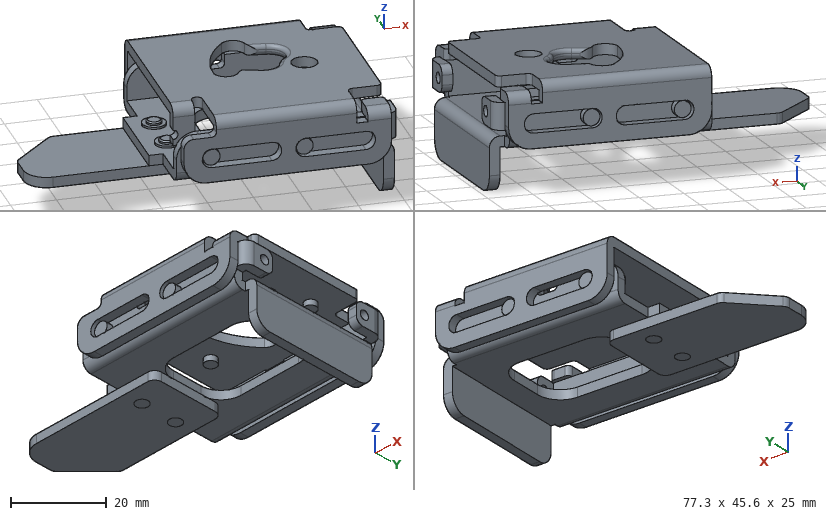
import cadquery as cq
import math


SHEET = 2.4
CORNER_RADIUS = 1.1
END_RADIUS = 5.0

COVER_LENGTH = 45.15
COVER_HALF_WIDTH = 22.8
COVER_TOP = 14.9
COVER_BOTTOM = 0.55
PLATE_BOTTOM = COVER_TOP - SHEET

SIDE_CLEARANCE = 0.15
CARRIAGE_HALF_WIDTH = COVER_HALF_WIDTH - SHEET - SIDE_CLEARANCE
CARRIAGE_LEFT = -0.9
CARRIAGE_RIGHT = 44.0
CARRIAGE_TOP = 10.4
CARRIAGE_END = 47.4

SLOT_LENGTH = 17.2
SLOT_HEIGHT = 4.2
SLOT_PITCH = 20.4
FIRST_SLOT_CENTER = 12.6
SLOT_Z = 6.0
BOSS_DIAMETER = 3.7
BOSS_PITCH = 20.25
FIRST_BOSS_X = 6.2
BOSS_HEIGHT = 1.8

RELIEF_RIGHT = 7.0
RELIEF_FLOOR = 10.9
RELIEF_CORNER_RADIUS = 2.1
HOOK_LENGTH = 4.7
HOOK_INNER_Y = -12.0
HOOK_BOTTOM = 6.0
HOOK_CORNER_RADIUS = 2.3
HOOK_GROOVE_DIAMETER = 2.1
HOOK_GROOVE_Z = 8.5
FINGER_END_Y = -10.8

NOTCH_LEFT = 37.6
NOTCH_INNER_Y = 15.45
NOTCH_FLOOR = 10.3
TAB_LEFT = 40.05
TAB_INNER_Y = 16.8

FIRST_STOP_X = 7.65
STOP_PITCH = 29.5
STOP_Y = 9.05
STOP_DIAMETER = 3.2
STOP_LENGTH = 1.5

PIVOT_X = 32.6
PIVOT_DIAMETER = 5.65
CAM_OUTER_RADIUS = 19.8
LOBE_RADIUS = 2.7
LOWER_LOBE_ANGLE = 180
UPPER_LOBE_ANGLE = 135
NECK_RADIUS = 2.6
POCKET_ORBIT = 9.0
POCKET_RADIUS = 3.7
LOWER_POCKET_ANGLE = 162
UPPER_POCKET_ANGLE = 131
LOWER_WALL_NORMAL = 250
UPPER_WALL_NORMAL = 82
WALL_LENGTH = 5.8
RIM_RADIUS = 0.9

WINDOW_LEFT = 9.75
WINDOW_RIGHT = 38.65
WINDOW_RADIUS = 5.95
DIP_LEFT = 15.1
DIP_LENGTH = 5.25
DIP_FLOOR = 7.4
EAR_INNER_Y = 12.4
EAR_BOTTOM = 4.4
EAR_RADIUS = 1.9
EAR_HOLE_DIAMETER = 2.4
EAR_HOLE_Y = 14.8
TAIL_HALF_WIDTH = 17.1
TAIL_BOTTOM = -10.05
TAIL_RADIUS = 4.0
LIP_LEFT = -4.0

OVERALL_LENGTH = 77.3
TONGUE_LEFT = CARRIAGE_END - OVERALL_LENGTH
TONGUE_RIGHT = 10.05
TONGUE_HALF_WIDTH = 10.0
TONGUE_RADIUS = 2.0
RIVET_X = 1.3
RIVET_Y = 4.95
RIVET_DIAMETER = 3.4
RIVET_COLLAR_DIAMETER = 5.25
RIVET_COLLAR_HEIGHT = 0.5
RIVET_HEAD_HEIGHT = 1.15
RIVET_CHAMFER = 0.3

PIVOT = (PIVOT_X, 0)
SIDES = (-1, 1)


def block(x0, x1, y0, y1, z0, z1):
    """Box between two opposite corners."""
    return cq.Workplane("XY").box(x1 - x0, y1 - y0, z1 - z0, centered=False).translate((x0, y0, z0))


def polar(center, radius, degrees):
    """Point at a radius and an angle from a center."""
    angle = math.radians(degrees)
    return (center[0] + radius * math.cos(angle), center[1] + radius * math.sin(angle))


def side_cylinder(x, z, diameter, y0, y1):
    """Cylinder along Y."""
    return cq.Workplane("XZ", origin=(x, y0, z)).circle(diameter / 2).extrude(y0 - y1)


def upright_cylinder(x, y, diameter, z0, z1):
    """Cylinder along Z."""
    return cq.Workplane("XY", origin=(x, y, z0)).circle(diameter / 2).extrude(z1 - z0)


def mirrored(shape):
    """The same shape on the other side of the XZ plane."""
    return shape.mirror("XZ")


LOWER_LOBE = polar(PIVOT, CAM_OUTER_RADIUS - LOBE_RADIUS, LOWER_LOBE_ANGLE)
UPPER_LOBE = polar(PIVOT, CAM_OUTER_RADIUS - LOBE_RADIUS, UPPER_LOBE_ANGLE)
LOWER_POCKET = polar(PIVOT, POCKET_ORBIT, LOWER_POCKET_ANGLE)
UPPER_POCKET = polar(PIVOT, POCKET_ORBIT, UPPER_POCKET_ANGLE)
LOWER_WALL = polar(LOWER_POCKET, POCKET_RADIUS, LOWER_WALL_NORMAL)
UPPER_WALL = polar(UPPER_POCKET, POCKET_RADIUS, UPPER_WALL_NORMAL)


def cam_pocket():
    """Inner part of the cam opening: two round ends joined by an arc around the pivot."""
    bridge_radius = POCKET_ORBIT - POCKET_RADIUS
    bridge_middle = (LOWER_POCKET_ANGLE + UPPER_POCKET_ANGLE) / 2
    lower_end = LOWER_POCKET_ANGLE + 180
    upper_start = UPPER_POCKET_ANGLE - 180
    lower_middle = (LOWER_WALL_NORMAL + lower_end) / 2
    upper_middle = (upper_start + UPPER_WALL_NORMAL) / 2
    return (
        cq.Workplane("XY", origin=(0, 0, PLATE_BOTTOM))
        .moveTo(*polar(LOWER_WALL, WALL_LENGTH, LOWER_WALL_NORMAL - 90))
        .lineTo(*LOWER_WALL)
        .threePointArc(
            polar(LOWER_POCKET, POCKET_RADIUS, lower_middle),
            polar(PIVOT, bridge_radius, LOWER_POCKET_ANGLE),
        )
        .threePointArc(
            polar(PIVOT, bridge_radius, bridge_middle),
            polar(PIVOT, bridge_radius, UPPER_POCKET_ANGLE),
        )
        .threePointArc(polar(UPPER_POCKET, POCKET_RADIUS, upper_middle), UPPER_WALL)
        .lineTo(*polar(UPPER_WALL, WALL_LENGTH, UPPER_WALL_NORMAL + 90))
        .close()
        .extrude(SHEET)
    )


def neck_points(lobe, wall_point, normal, along):
    """Start, middle and end of the arc that joins a lobe to a straight pocket wall."""
    nx, ny = polar((0, 0), 1, normal)
    lobe_height = (lobe[0] - wall_point[0]) * nx + (lobe[1] - wall_point[1]) * ny
    rise = NECK_RADIUS - lobe_height
    run = math.sqrt((LOBE_RADIUS + NECK_RADIUS) ** 2 - rise**2)
    center = polar(polar(lobe, run, along), rise, normal)
    to_lobe = math.degrees(math.atan2(lobe[1] - center[1], lobe[0] - center[0]))
    to_wall = normal + 180
    turn = (to_wall - to_lobe + 180) % 360 - 180
    return [polar(center, NECK_RADIUS, to_lobe + turn * part) for part in (0, 0.5, 1)]


def cam_lobes():
    """Outer part of the cam opening: a long arc with a round lobe at each end."""
    arc_middle = (LOWER_LOBE_ANGLE + UPPER_LOBE_ANGLE) / 2
    lower_neck = neck_points(LOWER_LOBE, LOWER_WALL, LOWER_WALL_NORMAL, LOWER_WALL_NORMAL + 90)
    upper_neck = neck_points(UPPER_LOBE, UPPER_WALL, UPPER_WALL_NORMAL, UPPER_WALL_NORMAL - 90)
    return (
        cq.Workplane("XY", origin=(0, 0, PLATE_BOTTOM))
        .moveTo(*polar(PIVOT, CAM_OUTER_RADIUS, UPPER_LOBE_ANGLE))
        .threePointArc(
            polar(PIVOT, CAM_OUTER_RADIUS, arc_middle),
            polar(PIVOT, CAM_OUTER_RADIUS, LOWER_LOBE_ANGLE),
        )
        .threePointArc(polar(LOWER_LOBE, LOBE_RADIUS, LOWER_LOBE_ANGLE + 90), lower_neck[0])
        .threePointArc(lower_neck[1], lower_neck[2])
        .lineTo(*upper_neck[2])
        .threePointArc(upper_neck[1], upper_neck[0])
        .threePointArc(
            polar(UPPER_LOBE, LOBE_RADIUS, UPPER_LOBE_ANGLE - 90),
            polar(PIVOT, CAM_OUTER_RADIUS, UPPER_LOBE_ANGLE),
        )
        .close()
        .extrude(SHEET)
    )


def cut_cam_opening(cover):
    """Cam opening, with upper and lower rim rounded on the pocket only, and the pivot hole."""
    cover = cover.cut(cam_pocket())
    pocket_region = cq.selectors.BoxSelector(
        (PIVOT_X - CAM_OUTER_RADIUS, -LOBE_RADIUS, PLATE_BOTTOM - SHEET),
        (PIVOT_X, CAM_OUTER_RADIUS, COVER_TOP + SHEET),
    )
    cover = cover.edges(pocket_region).edges("not |Z").fillet(RIM_RADIUS)
    cover = cover.cut(cam_lobes())
    return cover.cut(upright_cylinder(PIVOT_X, 0, PIVOT_DIAMETER, PLATE_BOTTOM, COVER_TOP))


def cover_channel():
    """Plain channel, open downward, with rounded lower corners on its sides."""
    outside = block(0, COVER_LENGTH, -COVER_HALF_WIDTH, COVER_HALF_WIDTH, COVER_BOTTOM, COVER_TOP)
    outside = outside.edges("|X and >Z").fillet(SHEET)
    outside = outside.edges("|Y and <Z").fillet(END_RADIUS)
    inner_half = COVER_HALF_WIDTH - SHEET
    return outside.cut(block(0, COVER_LENGTH, -inner_half, inner_half, COVER_BOTTOM, PLATE_BOTTOM))


def cut_corner_relief(cover):
    """Open corner beside the hook, with a finger slot between hook and plate."""
    relief = block(0, RELIEF_RIGHT, -COVER_HALF_WIDTH, HOOK_INNER_Y, RELIEF_FLOOR, COVER_TOP)
    relief = relief.edges("|Y and >X and <Z").fillet(CORNER_RADIUS)
    finger_width = RELIEF_RIGHT - HOOK_LENGTH
    round_y = FINGER_END_Y - finger_width / 2
    finger = block(HOOK_LENGTH, RELIEF_RIGHT, -COVER_HALF_WIDTH, round_y, PLATE_BOTTOM, COVER_TOP)
    finger_x = HOOK_LENGTH + finger_width / 2
    finger_end = upright_cylinder(finger_x, round_y, finger_width, PLATE_BOTTOM, COVER_TOP)
    cover = cover.cut(relief).cut(finger).cut(finger_end)
    side_middle = SHEET / 2 - COVER_HALF_WIDTH
    corner = cq.NearestToPointSelector((0, side_middle, RELIEF_FLOOR))
    return cover.edges("|Y").edges(corner).fillet(RELIEF_CORNER_RADIUS)


def hook():
    """Hook bent down from the plate, with a spring groove in its left edge."""
    outer_y = HOOK_INNER_Y - SHEET
    plate_y = HOOK_INNER_Y + SHEET
    body = block(0, HOOK_LENGTH, outer_y, plate_y, HOOK_BOTTOM, COVER_TOP)
    body = body.edges("|X and <Y and >Z").fillet(SHEET)
    body = body.cut(block(0, HOOK_LENGTH, HOOK_INNER_Y, plate_y, HOOK_BOTTOM, PLATE_BOTTOM))
    body = body.edges("|Y and >X and <Z").fillet(HOOK_CORNER_RADIUS)
    return body.cut(side_cylinder(0, HOOK_GROOVE_Z, HOOK_GROOVE_DIAMETER, outer_y, HOOK_INNER_Y))


def cut_corner_notch(cover, side):
    """Notch through the plate and the top of one side, at the right end."""
    notch = block(NOTCH_LEFT, COVER_LENGTH, NOTCH_INNER_Y, COVER_HALF_WIDTH, NOTCH_FLOOR, COVER_TOP)
    notch = notch.edges("|Z and <X and <Y").fillet(CORNER_RADIUS)
    if side < 0:
        notch = mirrored(notch)
    cover = cover.cut(notch)
    corner = cq.NearestToPointSelector((COVER_LENGTH, side * NOTCH_INNER_Y, COVER_TOP - SHEET / 2))
    return cover.edges("|Z").edges(corner).fillet(CORNER_RADIUS)


def retaining_tab(side):
    """Tab on top of one side, bent inward so that it lies on the carriage."""
    top = CARRIAGE_TOP + SHEET
    tab = block(TAB_LEFT, COVER_LENGTH, TAB_INNER_Y, COVER_HALF_WIDTH, NOTCH_FLOOR, top)
    tab = tab.edges("|Z and <Y").fillet(CORNER_RADIUS)
    tab = tab.edges("|X and >Y and >Z").fillet(SHEET)
    inner_y = COVER_HALF_WIDTH - SHEET
    tab = tab.cut(block(TAB_LEFT, COVER_LENGTH, TAB_INNER_Y, inner_y, NOTCH_FLOOR, CARRIAGE_TOP))
    return tab if side > 0 else mirrored(tab)


def guide_slots():
    """Two slots in a row, through both sides."""
    centers = [(FIRST_SLOT_CENTER + SLOT_PITCH * i, SLOT_Z) for i in range(2)]
    return (
        cq.Workplane("XZ")
        .pushPoints(centers)
        .slot2D(SLOT_LENGTH, SLOT_HEIGHT)
        .extrude(COVER_HALF_WIDTH, both=True)
    )


def stop(x):
    """Round stop that hangs from the plate."""
    return upright_cylinder(x, STOP_Y, STOP_DIAMETER, PLATE_BOTTOM - STOP_LENGTH, PLATE_BOTTOM)


def make_cover():
    """Upper channel with its cam opening, hook, tabs, slots and stops."""
    cover = cut_cam_opening(cover_channel())
    cover = cut_corner_relief(cover).union(hook())
    for side in SIDES:
        cover = cut_corner_notch(cover, side).union(retaining_tab(side))
    cover = cover.cut(guide_slots())
    for i in range(2):
        cover = cover.union(stop(FIRST_STOP_X + STOP_PITCH * i))
    return cover


def carriage_channel():
    """Plain channel, open upward, with a window in the floor and a dip in each side."""
    half = CARRIAGE_HALF_WIDTH
    outside = block(CARRIAGE_LEFT, CARRIAGE_RIGHT, -half, half, 0, CARRIAGE_TOP)
    outside = outside.edges("|X and <Z").fillet(SHEET)
    outside = outside.edges("|Y and <X and >Z").fillet(END_RADIUS)
    inner_half = half - SHEET
    inside = block(CARRIAGE_LEFT, CARRIAGE_RIGHT, -inner_half, inner_half, SHEET, CARRIAGE_TOP)
    dip = block(DIP_LEFT, DIP_LEFT + DIP_LENGTH, -half, half, DIP_FLOOR, CARRIAGE_TOP)
    dip = dip.edges("|Y and <Z").fillet(CORNER_RADIUS)
    window = block(WINDOW_LEFT, WINDOW_RIGHT, -TONGUE_HALF_WIDTH, TONGUE_HALF_WIDTH, 0, SHEET)
    window = window.edges("|Z").fillet(WINDOW_RADIUS)
    return outside.cut(inside).cut(dip).cut(window)


def ear():
    """Ear bent inward from the right end of the +Y side, with a hole."""
    half = CARRIAGE_HALF_WIDTH
    body = block(CARRIAGE_RIGHT, CARRIAGE_END, EAR_INNER_Y, half, EAR_BOTTOM, CARRIAGE_TOP)
    body = body.edges("|Z and >X and >Y").fillet(SHEET)
    face_x = CARRIAGE_END - SHEET
    body = body.cut(block(CARRIAGE_RIGHT, face_x, EAR_INNER_Y, half - SHEET, EAR_BOTTOM, CARRIAGE_TOP))
    body = body.edges("|X and <Y").fillet(EAR_RADIUS)
    hole_z = (EAR_BOTTOM + CARRIAGE_TOP) / 2
    hole = cq.Workplane("YZ", origin=(face_x, EAR_HOLE_Y, hole_z)).circle(EAR_HOLE_DIAMETER / 2)
    return body.cut(hole.extrude(SHEET))


def tail():
    """Right end of the floor, bent straight down."""
    body = block(CARRIAGE_RIGHT, CARRIAGE_END, -TAIL_HALF_WIDTH, TAIL_HALF_WIDTH, TAIL_BOTTOM, SHEET)
    body = body.edges("|Y and >X and >Z").fillet(SHEET)
    face_x = CARRIAGE_END - SHEET
    body = body.cut(block(CARRIAGE_RIGHT, face_x, -TAIL_HALF_WIDTH, TAIL_HALF_WIDTH, TAIL_BOTTOM, 0))
    return body.edges("|X and <Z").fillet(TAIL_RADIUS)


def guide_bosses():
    """Two round bosses on the outside of the +Y side."""
    first = side_cylinder(
        FIRST_BOSS_X, SLOT_Z, BOSS_DIAMETER, CARRIAGE_HALF_WIDTH, CARRIAGE_HALF_WIDTH + BOSS_HEIGHT
    )
    return first.union(first.translate((BOSS_PITCH, 0, 0)))


def rivet_holes():
    """Holes for the rivet shanks, through floor and tongue."""
    points = [(RIVET_X, side * RIVET_Y) for side in SIDES]
    holes = cq.Workplane("XY", origin=(0, 0, -SHEET)).pushPoints(points)
    return holes.circle(RIVET_DIAMETER / 2).extrude(2 * SHEET)


def make_carriage():
    """Lower channel with its lip, tail, ears and guide bosses."""
    lip = block(LIP_LEFT, CARRIAGE_LEFT, -TONGUE_HALF_WIDTH, TONGUE_HALF_WIDTH, 0, SHEET)
    carriage = carriage_channel().union(tail()).union(lip)
    for feature in (ear(), guide_bosses()):
        carriage = carriage.union(feature).union(mirrored(feature))
    return carriage.cut(rivet_holes())


def make_tongue():
    """Flat handle under the floor: one corner cut at 45 degrees, the other with a large radius."""
    half = TONGUE_HALF_WIDTH
    tongue = block(TONGUE_LEFT, TONGUE_RIGHT, -half, half, -SHEET, 0)
    tongue = tongue.edges("|Z and >X").fillet(TONGUE_RADIUS)
    tongue = tongue.edges("|Z and <X and <Y").fillet(END_RADIUS)
    tongue = tongue.edges("|Z and <X and >Y").chamfer(half)
    for x, y in ((TONGUE_LEFT, 0), (TONGUE_LEFT + half, half)):
        corner = cq.NearestToPointSelector((x, y, -SHEET / 2))
        tongue = tongue.edges("|Z").edges(corner).fillet(TONGUE_RADIUS)
    return tongue.cut(rivet_holes())


def make_rivet(y):
    """Rivet with its shank flush under the tongue, a thin collar and a small head on the floor."""
    shank = upright_cylinder(RIVET_X, y, RIVET_DIAMETER, -SHEET, SHEET + RIVET_HEAD_HEIGHT)
    shank = shank.faces(">Z").chamfer(RIVET_CHAMFER)
    collar = upright_cylinder(RIVET_X, y, RIVET_COLLAR_DIAMETER, SHEET, SHEET + RIVET_COLLAR_HEIGHT)
    return shank.union(collar)


cover = make_cover()
carriage = make_carriage()
tongue = make_tongue()
rivets = [make_rivet(side * RIVET_Y).val() for side in SIDES]

result = cq.Compound.makeCompound([cover.val(), carriage.val(), tongue.val(), *rivets])